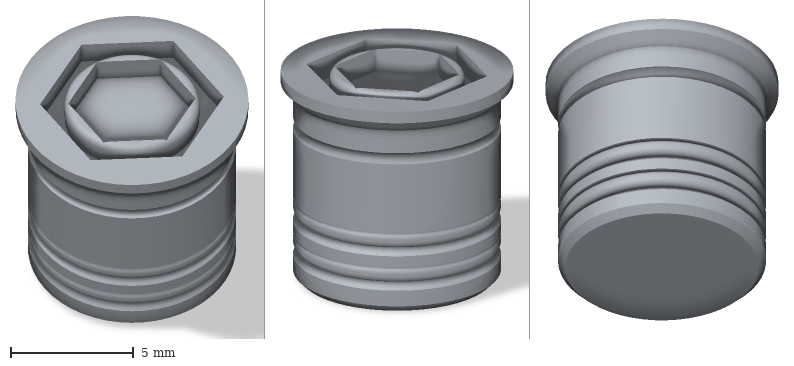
import cadquery as cq
import math

height = 9.0
flange_radius = 4.75
body_radius = 4.25
flange_rim_height = 0.5
flange_cone_height = flange_radius - body_radius
bottom_chamfer = 0.3

round_groove_top = height - 2.0
round_groove_width = 0.5
round_groove_depth = 0.29
round_groove_radius = round_groove_width / 2

ring_tops = [height - 5.5, height - 7.0]
ring_height = 0.7
ring_thickness = ring_height
ring_edge_radius = 0.3
groove_bevel = 0.3
ring_inner_radius = body_radius - ring_thickness

recess_across_flats = 6.5
recess_depth = 1.0
boss_radius = 2.75
boss_edge_radius = 0.3
socket_across_flats = 4.5
socket_depth = recess_depth


def hexagonal_prism(across_flats, depth):
    """Prism sunk from the top face, with two of its corners on the Y axis."""
    corner_diameter = across_flats / math.cos(math.pi / 6)
    return (
        cq.Workplane("XY")
        .polygon(6, corner_diameter)
        .extrude(depth)
        .rotate((0, 0, 0), (0, 0, 1), 30)
        .translate((0, 0, height - depth))
    )


def revolve_about_z(profile):
    """Revolve a closed radius-height profile, drawn on XZ, about the Z axis."""
    return profile.close().revolve(360, (0, 0, 0), (0, 1, 0))


def make_blank():
    cone_top = height - flange_rim_height
    return revolve_about_z(
        cq.Workplane("XZ")
        .moveTo(0, 0)
        .lineTo(body_radius - bottom_chamfer, 0)
        .lineTo(body_radius, bottom_chamfer)
        .lineTo(body_radius, cone_top - flange_cone_height)
        .lineTo(flange_radius, cone_top)
        .lineTo(flange_radius, height)
        .lineTo(0, height)
    )


def make_round_groove():
    groove_bottom = round_groove_top - round_groove_width
    arc_start_radius = body_radius - round_groove_depth + round_groove_radius
    floor_point = (body_radius - round_groove_depth, groove_bottom + round_groove_radius)
    return revolve_about_z(
        cq.Workplane("XZ")
        .moveTo(body_radius, groove_bottom)
        .lineTo(arc_start_radius, groove_bottom)
        .threePointArc(floor_point, (arc_start_radius, round_groove_top))
        .lineTo(body_radius, round_groove_top)
    )


def make_ring_groove(top):
    ring_bottom = top - ring_height
    return revolve_about_z(
        cq.Workplane("XZ")
        .moveTo(ring_inner_radius, top)
        .lineTo(ring_inner_radius, ring_bottom)
        .lineTo(body_radius - groove_bevel, ring_bottom)
        .lineTo(body_radius, ring_bottom - groove_bevel)
        .lineTo(body_radius, top)
    )


def make_boss():
    return (
        cq.Workplane("XY", origin=(0, 0, height - recess_depth))
        .circle(boss_radius)
        .extrude(recess_depth)
        .faces(">Z")
        .edges()
        .fillet(boss_edge_radius)
    )


def make_plug():
    plug = make_blank().cut(make_round_groove())
    for top in ring_tops:
        plug = plug.cut(make_ring_groove(top))
    plug = plug.cut(hexagonal_prism(recess_across_flats, recess_depth))
    plug = plug.union(make_boss())
    return plug.cut(hexagonal_prism(socket_across_flats, socket_depth))


def make_sealing_ring(top):
    """Ring flush with the plug body, with rounded outer edges."""
    return (
        cq.Workplane("XY", origin=(0, 0, top - ring_height))
        .circle(body_radius)
        .circle(ring_inner_radius)
        .extrude(ring_height)
        .edges(cq.selectors.RadiusNthSelector(-1))
        .fillet(ring_edge_radius)
    )


plug = make_plug()
sealing_rings = [make_sealing_ring(top) for top in ring_tops]

result = cq.Compound.makeCompound([plug.val(), *[ring.val() for ring in sealing_rings]])